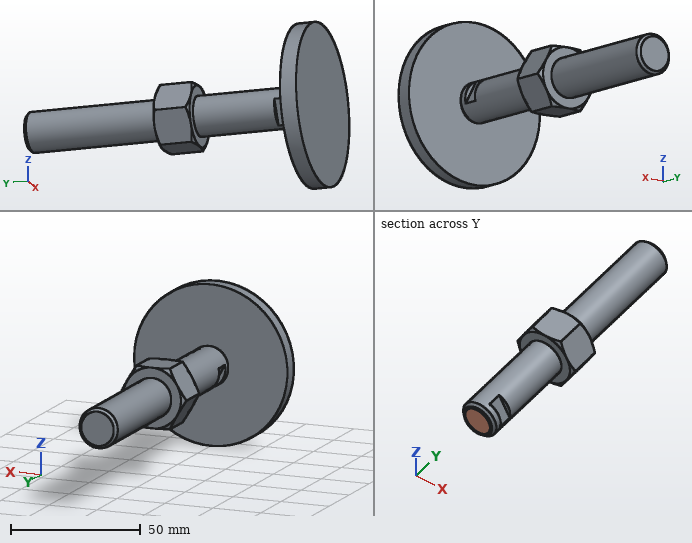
import cadquery as cq
import math

total_length = 119.0

base_diameter = 64.0
base_thickness = 6.5

stud_diameter = 16.0
stud_chamfer = 1.2
neck_diameter = 12.1
neck_length = 0.4
stud_start = base_thickness + neck_length

flats_across = 11.9
flats_start = 11.0
flats_length = 6.1
flats_angle = 29.0

nut_across_flats = 24.0
nut_height = 14.8
nut_start = 50.0
nut_chamfer_angle = 30.0
nut_across_corners = nut_across_flats / math.cos(math.pi / 6)


def section_at(y):
    """Workplane across the foot axis at height y, extruding towards +Y."""
    plane = cq.Plane(origin=(0, y, 0), xDir=(1, 0, 0), normal=(0, 1, 0))
    return cq.Workplane(plane)


def make_base():
    return section_at(0).circle(base_diameter / 2).extrude(base_thickness)


def make_stud():
    stud = (
        section_at(stud_start)
        .circle(stud_diameter / 2)
        .extrude(total_length - stud_start)
        .faces("<Y or >Y")
        .chamfer(stud_chamfer)
    )
    neck = section_at(base_thickness).circle(neck_diameter / 2).extrude(neck_length)
    return stud.union(neck).cut(make_flat_cutters())


def make_flat_cutters():
    """Two blocks that leave flats_across of material between them."""
    cutter_center = (flats_across + stud_diameter) / 2
    return (
        section_at(flats_start)
        .pushPoints([(-cutter_center, 0), (cutter_center, 0)])
        .rect(stud_diameter, 2 * stud_diameter)
        .extrude(flats_length)
        .rotate((0, 0, 0), (0, 1, 0), -flats_angle)
    )


def make_nut():
    hexagon = section_at(nut_start).polygon(6, nut_across_corners).extrude(nut_height)
    bore = section_at(nut_start).circle(stud_diameter / 2).extrude(nut_height)
    return hexagon.intersect(make_nut_envelope()).cut(bore)


def make_nut_envelope():
    """Turned blank whose conical ends bevel the corners of the nut."""
    face_radius = nut_across_flats / 2
    corner_radius = nut_across_corners / 2
    bevel = (corner_radius - face_radius) * math.tan(math.radians(nut_chamfer_angle))
    nut_end = nut_start + nut_height
    return (
        cq.Workplane("XY")
        .moveTo(0, nut_start)
        .lineTo(face_radius, nut_start)
        .lineTo(corner_radius, nut_start + bevel)
        .lineTo(corner_radius, nut_end - bevel)
        .lineTo(face_radius, nut_end)
        .lineTo(0, nut_end)
        .close()
        .revolve(360, (0, 0, 0), (0, 1, 0))
    )


base = make_base()
stud = make_stud()
nut = make_nut()

result = cq.Compound.makeCompound([base.val(), stud.val(), nut.val()])